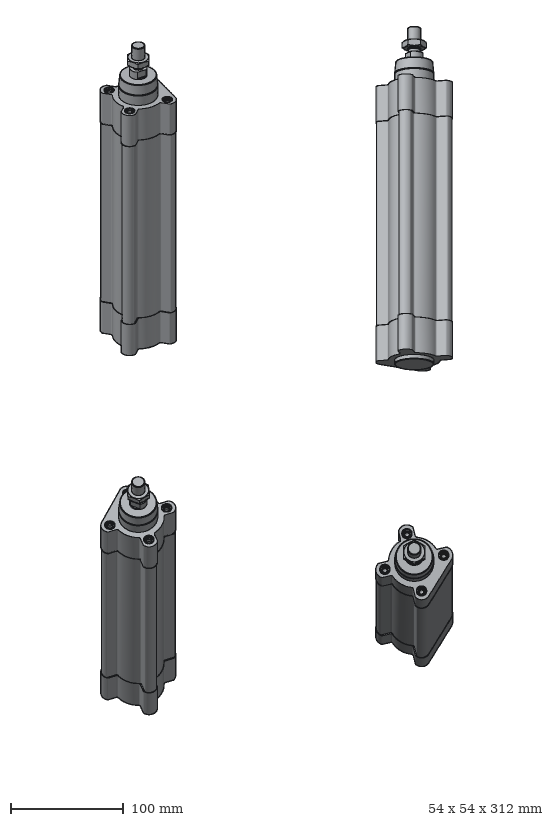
import cadquery as cq
import math

total_height = 312
rear_collar_height = 4.0
cap_height = 33.0
barrel_height = 189.0
front_collar_height = 21.2
collar_straight_height = 10.0
rear_cap_top = rear_collar_height + cap_height
front_cap_bottom = rear_cap_top + barrel_height
front_cap_top = front_cap_bottom + cap_height
collar_groove_z = front_cap_top + collar_straight_height
collar_top = front_cap_top + front_collar_height

half_pitch = 19.0
root_fillet = 1.5
cap_width = 54.0
cap_disc_dia = 46.2
cap_lobe_width = 13.5
cap_corner_radius = 7.5
barrel_width = 53.3
barrel_disc_dia = 45.5
barrel_lobe_width = 11.2
barrel_corner_radius = barrel_width / 2 - half_pitch
shoulder_fillet = 2.0

collar_dia = 35.0
collar_groove_depth = 0.3
collar_groove_height = 1.0
collar_nose_dia = 33.0
collar_chamfer = 0.5

recess_dia = 9.5
recess_bore_dia = 8.0
recess_chamfer = (recess_dia - recess_bore_dia) / 2
recess_depth = 2.0
socket_mouth_dia = 6.0
socket_dia = 4.5
socket_chamfer = (socket_mouth_dia - socket_dia) / 2
socket_depth = 6.2
drill_point_angle = 118

rod_dia = 16.0
rod_flat_width = 13.0
rod_flats_bottom = collar_top + 1.2
rod_shoulder_z = 288.2
neck_dia = 10.3
groove_dia = 9.5
groove_height = 1.0
thread_dia = 12.0
thread_bottom = 291.5
thread_chamfer = 0.5

nut_width = 19.0
nut_height = 6.2
nut_bottom = 293.0
nut_face_dia = 18.5
nut_chamfer_angle = 30


def cylinder(diameter, bottom, top):
    return cq.Workplane("XY").workplane(offset=bottom).circle(diameter / 2).extrude(top - bottom)


def revolved(points):
    """Turn a closed outline of (radius, z) points about the Z axis."""
    return cq.Workplane("XZ").polyline(points).close().revolve(360, (0, 0, 0), (0, 1, 0))


def upright_edges(block, axis_distance):
    """Vertical edges that lie at the given distance from the Z axis."""
    tolerance = 0.003
    return block.edges("|Z").filter(
        lambda edge: abs(math.hypot(edge.Center().x, edge.Center().y) - axis_distance) < tolerance
    )


def lobed_block(width, disc_dia, lobe_width, corner_radius, bottom, height):
    """Round block with four diagonal corner lobes, filled to a flat side at +Y."""
    half = width / 2
    reach = lobe_width / math.sqrt(2)
    lobe = (
        cq.Workplane("XY")
        .polyline([
            (0, 0),
            (reach, 0),
            (half, half - reach),
            (half, half),
            (half - reach, half),
            (0, reach),
        ])
        .close()
        .extrude(height)
    )
    lobe = upright_edges(lobe, math.hypot(half, half)).fillet(corner_radius)
    lobe = upright_edges(lobe, math.hypot(half, half - reach)).fillet(shoulder_fillet)

    block = cylinder(disc_dia, 0, height)
    for quarter in range(4):
        block = block.union(lobe.rotate((0, 0, 0), (0, 0, 1), 90 * quarter))
    rounded_square = cq.Workplane("XY").rect(width, width).extrude(height).edges("|Z").fillet(corner_radius)
    wedge = cq.Workplane("XY").polyline([(0, 0), (half, half), (-half, half)]).close().extrude(height)
    block = block.union(rounded_square.intersect(wedge))
    block = upright_edges(block, disc_dia / 2).fillet(root_fillet)
    return block.translate((0, 0, bottom))


def make_cap(bottom):
    return lobed_block(cap_width, cap_disc_dia, cap_lobe_width, cap_corner_radius, bottom, cap_height)


def make_barrel():
    return lobed_block(
        barrel_width, barrel_disc_dia, barrel_lobe_width, barrel_corner_radius, rear_cap_top, barrel_height
    )


def make_front_collar():
    radius = collar_dia / 2
    nose_radius = collar_nose_dia / 2
    taper_bottom = collar_groove_z + collar_groove_height
    return revolved([
        (0, front_cap_top),
        (radius, front_cap_top),
        (radius, collar_groove_z),
        (radius - collar_groove_depth, collar_groove_z),
        (radius - collar_groove_depth, taper_bottom),
        (radius, taper_bottom),
        (nose_radius, collar_top - collar_chamfer),
        (nose_radius - collar_chamfer, collar_top),
        (0, collar_top),
    ])


def make_screw_recess():
    """Cutter for one chamfered recess with a conical-bottomed socket, its mouth at z = 0."""
    point_depth = socket_dia / 2 / math.tan(math.radians(drill_point_angle / 2))
    return revolved([
        (0, 0),
        (recess_dia / 2, 0),
        (recess_bore_dia / 2, -recess_chamfer),
        (recess_bore_dia / 2, -recess_depth),
        (socket_mouth_dia / 2, -recess_depth),
        (socket_dia / 2, -recess_depth - socket_chamfer),
        (socket_dia / 2, -socket_depth),
        (0, -socket_depth - point_depth),
    ])


def make_housing():
    rear_collar = cylinder(collar_dia, 0, rear_collar_height).faces("<Z").chamfer(collar_chamfer)
    housing = make_barrel().union(make_cap(rear_collar_height)).union(make_cap(front_cap_bottom))
    housing = housing.union(rear_collar).union(make_front_collar())
    recess = make_screw_recess()
    for x in (-half_pitch, half_pitch):
        for y in (-half_pitch, half_pitch):
            housing = housing.cut(recess.translate((x, y, front_cap_top)))
    return housing.cut(cylinder(rod_dia, front_cap_top, collar_top))


def make_rod():
    """Rod seated in the front collar, with two wrench flats, a grooved neck and a threaded end."""
    shank = cylinder(rod_dia, front_cap_top, rod_shoulder_z)
    flats = (
        cq.Workplane("XY")
        .workplane(offset=rod_flats_bottom)
        .rect(2 * rod_dia, rod_dia)
        .rect(rod_flat_width, rod_dia)
        .extrude(rod_shoulder_z - rod_flats_bottom)
    )
    groove_top = rod_shoulder_z + groove_height
    groove = cylinder(groove_dia, rod_shoulder_z, groove_top)
    neck = cylinder(neck_dia, groove_top, thread_bottom)
    thread = cylinder(thread_dia, thread_bottom, total_height).faces("<Z or >Z").chamfer(thread_chamfer)
    return shank.cut(flats).union(groove).union(neck).union(thread)


def make_nut():
    """Hexagon nut with flats facing +X and -X, its corners chamfered at both ends."""
    hexagon = cq.Workplane("XY").polygon(6, nut_width, circumscribed=True).extrude(nut_height)
    face_radius = nut_face_dia / 2
    middle = nut_height / 2
    slope_run = middle / math.tan(math.radians(nut_chamfer_angle))
    chamfer_cones = revolved([
        (0, 0),
        (face_radius, 0),
        (face_radius + slope_run, middle),
        (face_radius, nut_height),
        (0, nut_height),
    ])
    nut = hexagon.intersect(chamfer_cones).cut(cylinder(thread_dia, 0, nut_height))
    return nut.translate((0, 0, nut_bottom))


housing = make_housing()
rod = make_rod()
nut = make_nut()
result = cq.Compound.makeCompound([housing.val(), rod.val(), nut.val()])